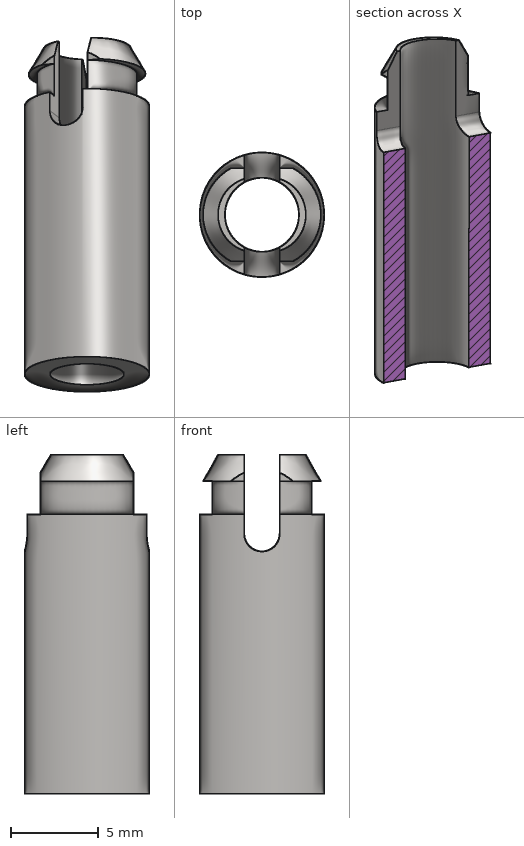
import cadquery as cq

total_height = 19.3
body_diameter = 7.1
body_height = 15.9
bore_diameter = 4.2
neck_diameter = 5.68
neck_height = 1.9
head_base_width = 6.7
head_top_width = 5.0
head_axis_offset = 0.35
head_flat_width = 5.3
slot_width = 2.0
slot_bottom = 13.8

head_bottom = body_height + neck_height
head_height = total_height - head_bottom
slot_radius = slot_width / 2
slot_center_height = slot_bottom + slot_radius


def make_body():
    """Plain cylindrical sleeve standing on the origin."""
    return cq.Workplane("XY").circle(body_diameter / 2).extrude(body_height)


def make_neck():
    """Reduced cylinder between the body and the snap head."""
    return (
        cq.Workplane("XY", origin=(0, 0, body_height))
        .circle(neck_diameter / 2)
        .extrude(neck_height)
    )


def make_jaw(side):
    """Half of the snap head on one side of the slot; side is +1 for +X and -1 for -X.

    Its cone axis is shifted outward from the bore axis.
    """
    axis_x = side * head_axis_offset
    cone = (
        cq.Workplane("XY", origin=(axis_x, 0, head_bottom))
        .circle(head_base_width / 2 - head_axis_offset)
        .workplane(offset=head_height)
        .circle(head_top_width / 2 - head_axis_offset)
        .loft(ruled=True)
    )
    half_width = head_base_width / 2
    flat_envelope = (
        cq.Workplane("XY", origin=(side * half_width / 2, 0, head_bottom))
        .rect(half_width, head_flat_width)
        .extrude(head_height)
    )
    return cone.intersect(flat_envelope)


def make_bore():
    """Through bore along the axis."""
    return cq.Workplane("XY").circle(bore_diameter / 2).extrude(total_height)


def make_slot():
    """Round-ended slot along Y that is open at the top and splits the head."""
    return (
        cq.Workplane("XZ")
        .moveTo(-slot_radius, total_height)
        .lineTo(-slot_radius, slot_center_height)
        .threePointArc((0, slot_bottom), (slot_radius, slot_center_height))
        .lineTo(slot_radius, total_height)
        .close()
        .extrude(body_diameter / 2, both=True)
    )


pin = make_body().union(make_neck())
for jaw_side in (-1, 1):
    pin = pin.union(make_jaw(jaw_side))
result = pin.cut(make_bore()).cut(make_slot())